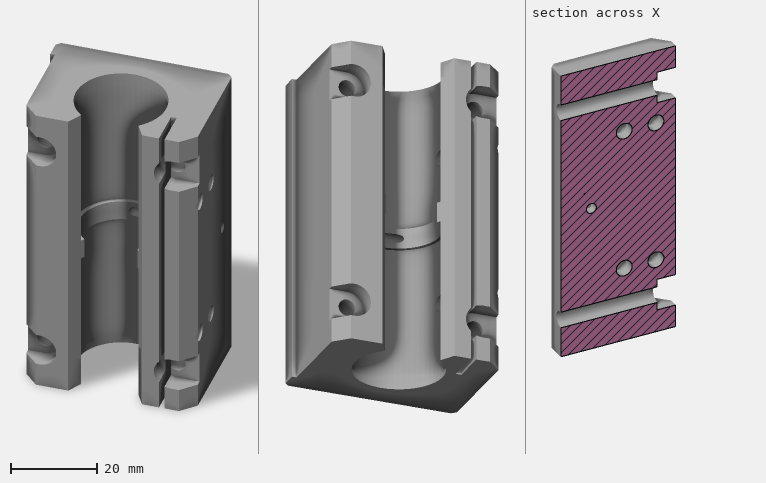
import cadquery as cq
import math

length = 76.0
width = 43.0
depth = 30.0
bore_to_back = 18.0
back_y = bore_to_back
front_y = back_y - depth
right_x = width / 2
left_x = -right_x

lip_step = 1.15
lip_height = 5.0
side_x = left_x + lip_step

back_chamfer = 1.1
front_chamfer = 3.5

bore_radius = 11.0
band_radius = 10.0
band_length = 5.0
mouth_width = 18.0
flank_angle = 30.0

slit_width = 1.4
slit_depth = 9.2
slit_x = 13.8

mount_spacing_x = 32.0
mount_spacing_z = 56.0
mount_diameter = 4.1
counterbore_diameter = 8.1
counterbore_depth = 4.8

screw_diameter = 4.0
screw_spacing_z = 37.0
bore_screw_y = 1.45
clamp_screw_y = -6.85

oil_diameter = 2.5
oil_y = band_radius


def make_body():
    """Block outline with the lip and corner chamfers, extruded along Z."""
    outline = [
        (side_x, back_y - lip_height),
        (left_x, back_y - lip_height),
        (left_x, back_y - back_chamfer),
        (left_x + back_chamfer, back_y),
        (right_x - back_chamfer, back_y),
        (right_x, back_y - back_chamfer),
        (right_x, front_y + front_chamfer),
        (right_x - front_chamfer, front_y),
        (side_x + front_chamfer, front_y),
        (side_x, front_y + front_chamfer),
    ]
    return cq.Workplane("XY").polyline(outline).close().extrude(length / 2, both=True)


def make_bore():
    """Full-size bore at both ends joined by the narrower band."""
    end_length = (length - band_length) / 2
    bore = cq.Workplane("XY").circle(band_radius).extrude(length / 2, both=True)
    for start_z in (-length / 2, band_length / 2):
        bore = bore.union(
            cq.Workplane("XY").workplane(offset=start_z).circle(bore_radius).extrude(end_length)
        )
    return bore


def make_mouth():
    """Triangular prism whose slanted sides form the flanks of the front opening."""
    half_width = mouth_width / 2
    apex_y = front_y + half_width / math.tan(math.radians(flank_angle))
    outline = [(-half_width, front_y), (half_width, front_y), (0, apex_y)]
    return cq.Workplane("XY").polyline(outline).close().extrude(length / 2, both=True)


def make_slit():
    return cq.Workplane("XY").box(slit_width, slit_depth, length).translate(
        (slit_x, front_y + slit_depth / 2, 0)
    )


def make_mounting_hole(side, z):
    """Through hole and round-ended counterbore on the given side (-1 left, 1 right)."""
    x = side * mount_spacing_x / 2
    run_out = width / 2 - mount_spacing_x / 2
    front = cq.Workplane("XZ", origin=(x, front_y, z))
    hole = front.circle(mount_diameter / 2).extrude(-depth)
    counterbore = front.circle(counterbore_diameter / 2).extrude(-counterbore_depth)
    channel = (
        front.center(side * run_out / 2, 0)
        .rect(run_out, counterbore_diameter)
        .extrude(-counterbore_depth)
    )
    return hole.union(counterbore).union(channel)


def make_side_hole(inner_x, diameter, y, z):
    """Hole along X from inner_x out through the right side."""
    return cq.Workplane("YZ", origin=(inner_x, y, z)).circle(diameter / 2).extrude(right_x - inner_x)


def make_oil_passage():
    """Blind hole with a hemispherical end, revolved about its own axis along X."""
    radius = oil_diameter / 2
    return (
        cq.Workplane("XY", origin=(0, oil_y, 0))
        .moveTo(-radius, 0)
        .radiusArc((0, radius), radius)
        .lineTo(right_x, radius)
        .lineTo(right_x, 0)
        .close()
        .revolve(360, (0, 0, 0), (1, 0, 0))
    )


result = make_body().cut(make_bore()).cut(make_mouth()).cut(make_slit())

for side in (-1, 1):
    for end in (-1, 1):
        result = result.cut(make_mounting_hole(side, end * mount_spacing_z / 2))

for end in (-1, 1):
    screw_z = end * screw_spacing_z / 2
    result = result.cut(make_side_hole(0, screw_diameter, bore_screw_y, screw_z))
    result = result.cut(make_side_hole(slit_x, screw_diameter, clamp_screw_y, screw_z))

result = result.cut(make_oil_passage())